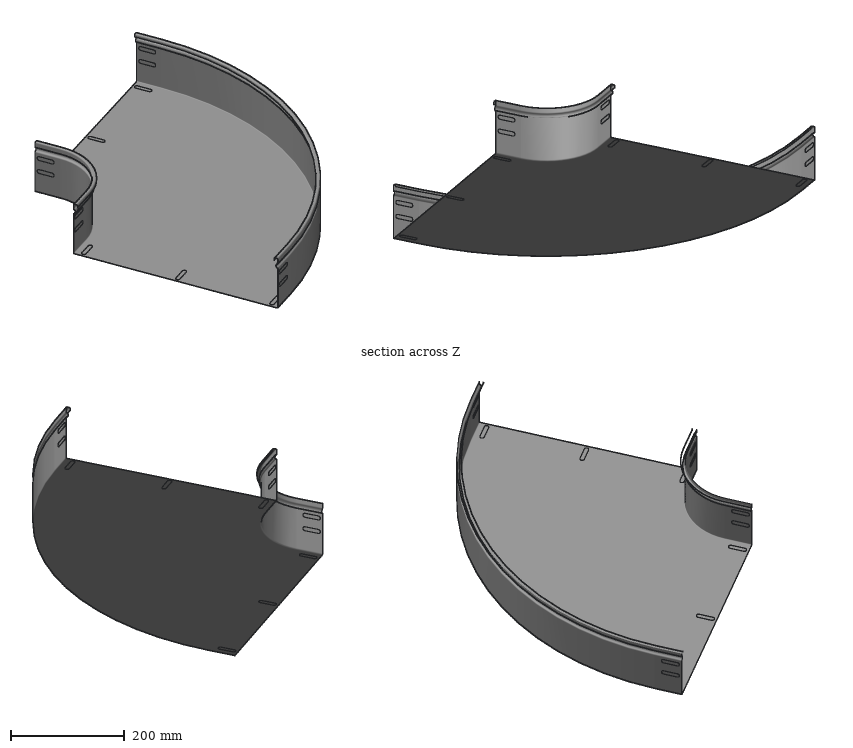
import cadquery as cq
import math


tray_width = 401.9
tray_height = 104.1
inner_bend_radius = 100.0
straight_length = 50.0
bend_angle = 90.0

sheet = 1.0
fold_radius = 2.5
lip_fold_radius = 3.0
lip_width = 8.7
lip_height = 6.0
gap_tolerance = sheet / 1000

groove_height = 88.0
groove_radius = 4.0
groove_edge_radius = 2.5

slot_length = 33.0
slot_width = 8.0
slot_depth = sheet / 2
slot_center_from_end = 21.0
floor_slot_spacing = 184.5
wall_slot_heights = (45.0, 72.0)

half_width = tray_width / 2
middle_x = straight_length + inner_bend_radius + half_width


def wall_bends():
    """Bends of one side wall from floor to lip: centre x and z, outer skin radius, start and end angle.

    x runs outward from the middle of the tray. A negative radius marks a bend whose centre lies
    on the outer side of the sheet: its angles are turned by 180 degrees and its size grows towards
    the inner skin.
    """
    fold_x = half_width - fold_radius
    lip_fold_x = half_width - lip_width + lip_fold_radius
    top_fold_z = tray_height - fold_radius
    groove_edge_x = half_width - groove_edge_radius
    center_distance = groove_radius + groove_edge_radius
    groove_angle = math.degrees(math.acos(groove_edge_radius / center_distance))
    groove_edge_rise = math.sqrt(center_distance**2 - groove_edge_radius**2)
    return [
        (fold_x, fold_radius, fold_radius, -90, 0),
        (groove_edge_x, groove_height - groove_edge_rise, groove_edge_radius, 0, groove_angle),
        (half_width, groove_height, -groove_radius, groove_angle, -groove_angle),
        (groove_edge_x, groove_height + groove_edge_rise, groove_edge_radius, -groove_angle, 0),
        (fold_x, top_fold_z, fold_radius, 0, 90),
        (lip_fold_x, tray_height - lip_fold_radius, lip_fold_radius, 90, 180),
    ]


def wall_skin(depth):
    """Edges of the outside wall's surface `depth` inside the outer skin, from the floor to the lip's end."""
    edges = []
    for center_x, center_z, outer_radius, start_angle, end_angle in wall_bends():
        radius = outer_radius - depth
        arc_points = []
        for angle in (start_angle, (start_angle + end_angle) / 2, end_angle):
            turn = math.radians(angle)
            x = center_x + radius * math.cos(turn)
            z = center_z + radius * math.sin(turn)
            arc_points.append(cq.Vector(x, z))
        if edges and (arc_points[0] - edges[-1].endPoint()).Length > gap_tolerance:
            edges.append(cq.Edge.makeLine(edges[-1].endPoint(), arc_points[0]))
        edges.append(cq.Edge.makeThreePointArc(*arc_points))

    lip_end = cq.Vector(half_width - lip_width + depth, tray_height - lip_height)
    edges.append(cq.Edge.makeLine(edges[-1].endPoint(), lip_end))
    return edges


def tray_section():
    """Section of the tray, standing upright on the plane where the straight run meets the bend."""
    outer = wall_skin(0)
    inner = wall_skin(sheet)
    lip_cap = cq.Edge.makeLine(outer[-1].endPoint(), inner[-1].endPoint())
    one_wall = outer + inner + [lip_cap]
    other_wall = [edge.mirror("YZ") for edge in one_wall]
    floor_lines = []
    for skin in (outer, inner):
        floor_end = skin[0].startPoint()
        floor_lines.append(cq.Edge.makeLine(cq.Vector(-floor_end.x, floor_end.y), floor_end))
    outline = cq.Wire.combine(one_wall + other_wall + floor_lines)[0]
    upright = cq.Face.makeFromWires(outline).rotate(cq.Vector(0, 0, 0), cq.Vector(1, 0, 0), 90)
    return upright.translate(cq.Vector(middle_x, straight_length, 0))


def floor_slots():
    """Cutters for the row of slots sunk into the floor of the straight run that ends at Y = 0."""
    centers = [(middle_x + step * floor_slot_spacing, slot_center_from_end) for step in (-1, 0, 1)]
    cutters = cq.Workplane("XY", origin=(0, 0, sheet - slot_depth)).pushPoints(centers)
    return cutters.slot2D(slot_length, slot_width, 90).extrude(slot_depth)


def wall_slots(pocket_x):
    """Cutters for the slots of one wall of that run, filling X from `pocket_x` over the slot depth.

    The inside wall is sunk on its outer face, the outside wall on its inner face.
    """
    centers = [(slot_center_from_end, height) for height in wall_slot_heights]
    cutters = cq.Workplane("YZ", origin=(pocket_x, 0, 0)).pushPoints(centers)
    return cutters.slot2D(slot_length, slot_width).extrude(slot_depth)


def straight_run():
    """Straight end of the tray from Y = 0 up to the start of the bend, with its slots."""
    run = cq.Workplane(cq.Solid.extrudeLinear(tray_section(), cq.Vector(0, -straight_length, 0)))
    inside_wall_face = middle_x - half_width
    outside_wall_face = middle_x + half_width - sheet
    run = run.cut(floor_slots())
    return run.cut(wall_slots(inside_wall_face)).cut(wall_slots(outside_wall_face))


def curved_run():
    """Bend of the tray, turned about its vertical axis."""
    axis_foot = cq.Vector(straight_length, straight_length, 0)
    axis_head = axis_foot + cq.Vector(0, 0, 1)
    return cq.Workplane(cq.Solid.revolve(tray_section(), bend_angle, axis_foot, axis_head))


first_run = straight_run()
second_run = first_run.mirror(cq.Vector(1, -1, 0))
result = curved_run().union(first_run).union(second_run)